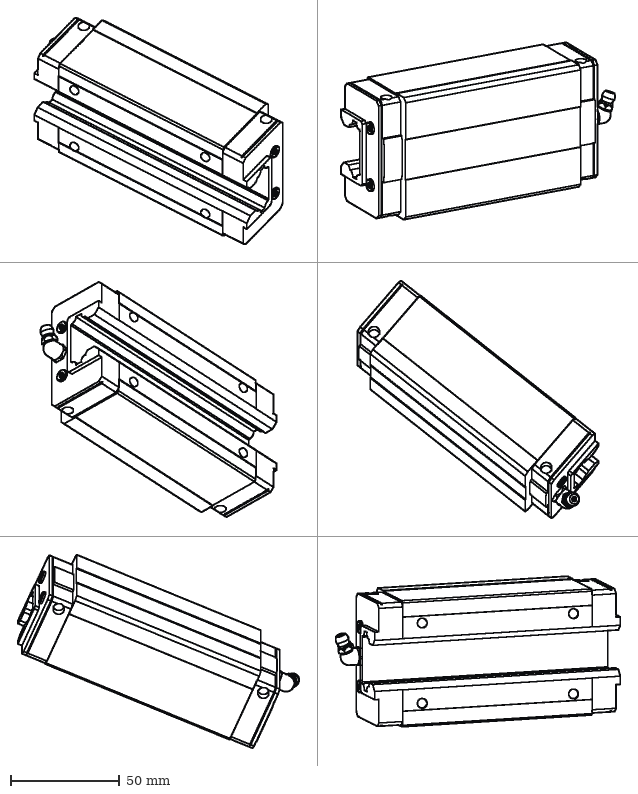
import cadquery as cq
import math


overall_length = 130.2

block_length = 93.0
block_height = 36.7
block_width = 60.0
block_half_width = block_width / 2
block_lower_half_width = 29.7
width_step_y = 27.6
block_top_chamfer = 2.0
block_bottom_chamfer = 0.9
bottom_step_half_width = 22.1
bottom_step_depth = 0.3
bottom_land_height = 0.07
top_relief_half_width = 9.9
top_relief_depth = 0.4

cap_end_x = 58.2
cap_height = 31.8
cap_half_width = 28.9
cap_chamfer = 2.0
end_plate_thickness = 1.7
plate_groove_width = 0.4
plate_groove_depth = 0.5
tongue_half_width = 10.7
tongue_crown_half_width = 7.0
tongue_shoulder_y = 33.0
tongue_crown_y = 33.3
side_hole_diameter = 5.2
side_hole_depth = 5.2
side_hole_x = 51.7
side_hole_y = 27.6

seal_end_x = 60.3
seal_height = 20.0
seal_half_width = 15.9
seal_chamfer = 1.2

channel_floor_y = 17.6
channel_floor_half_width = 10.5
channel_land_half_width = 11.2
channel_slot_half_width = 13.9
channel_lip_half_width = 9.2
channel_mouth_half_width = 12.0
lip_outer_y = 2.7
lip_inner_y = 7.2
slot_lower_y = 11.2
slot_upper_y = 14.5
slot_edge_radius = 2.6

screw_diameter = 5.7
screw_head_height = 1.2
screw_head_chamfer = 0.3
screw_socket_width = 2.2
screw_socket_depth = 0.7
screw_y = 24.7
screw_spacing = 28.0
screw_z = screw_spacing / 2

pin_diameter = 4.4
pin_height = 1.3
pin_edge_radius = 0.4
pin_x = 37.1
pin_z = 18.9

nipple_y = 26.7
elbow_diameter = 8.0
base_hex_thickness = 1.7
nipple_tilt = 22.0
nipple_hex_width = 6.6
nipple_hex_start = 3.3
nipple_hex_end = 5.6
hex_corner_chamfer = 1.2
collar_diameter = 6.0
collar_end = 6.5
neck_diameter = 5.2
neck_end = 7.0
head_diameter = 6.2
head_start = 8.6
tip_diameter = 4.4
tip_end = 11.2
grease_hole_diameter = 2.2
grease_hole_inner_diameter = 1.0
grease_hole_depth = 1.0

head_inset = (head_diameter - tip_diameter) / 2
head_arc_radius = (head_inset**2 + (tip_end - head_start) ** 2) / (2 * head_inset)

tilt = math.radians(nipple_tilt)
head_arc_centre_radius = head_diameter / 2 - head_arc_radius
spout_reach = head_start * math.sin(tilt) + head_arc_centre_radius * math.cos(tilt) + head_arc_radius
elbow_x = seal_end_x - overall_length + spout_reach


def mirrored_outline(half_points):
    """Close a (Y, Z) half outline with its mirror image across Z = 0."""
    mirror_points = [(y, -z) for y, z in reversed(half_points)]
    return cq.Workplane("YZ").polyline(half_points + mirror_points).close()


def extrude_between(outline, x_start, x_end):
    return outline.extrude(x_end - x_start).translate((x_start, 0, 0))


def both_ends(solid):
    return solid.union(solid.mirror("YZ"))


def make_block():
    half_outline = [
        (-bottom_land_height, bottom_step_half_width),
        (bottom_step_depth, bottom_step_half_width),
        (bottom_step_depth, block_lower_half_width - block_bottom_chamfer),
        (bottom_step_depth + block_bottom_chamfer, block_lower_half_width),
        (width_step_y, block_lower_half_width),
        (width_step_y, block_half_width),
        (block_height - block_top_chamfer, block_half_width),
        (block_height, block_half_width - block_top_chamfer),
        (block_height, top_relief_half_width),
        (block_height - top_relief_depth, top_relief_half_width),
    ]
    return extrude_between(mirrored_outline(half_outline), -block_length / 2, block_length / 2)


def cap_outline(inset=0):
    """Chamfered rectangle, inset from the top and sides but not from the open face."""
    half_width = cap_half_width - inset
    height = cap_height - inset
    return mirrored_outline([
        (0, cap_half_width - cap_chamfer),
        (cap_chamfer - inset, half_width),
        (height - cap_chamfer, half_width),
        (height, half_width - cap_chamfer),
    ])


def make_end_cap():
    plate_start = cap_end_x - end_plate_thickness
    body_end = plate_start - plate_groove_width
    core = extrude_between(cap_outline(plate_groove_depth), block_length / 2, cap_end_x)
    body = extrude_between(cap_outline(), block_length / 2, body_end)
    plate = extrude_between(cap_outline(), plate_start, cap_end_x)
    tongue_outline = mirrored_outline([
        (cap_height - cap_chamfer, tongue_half_width),
        (tongue_shoulder_y, tongue_half_width),
        (tongue_crown_y, tongue_crown_half_width),
    ])
    tongue = extrude_between(tongue_outline, block_length / 2, body_end)
    cap = core.union(body).union(plate).union(tongue)

    for side in (-1, 1):
        hole = (
            cq.Workplane("XY", origin=(side_hole_x, side_hole_y, side * cap_half_width))
            .circle(side_hole_diameter / 2)
            .extrude(-side * side_hole_depth)
        )
        cap = cap.cut(hole)
    return cap


def make_seal():
    outline = mirrored_outline([
        (0, seal_half_width),
        (seal_height - seal_chamfer, seal_half_width),
        (seal_height, seal_half_width - seal_chamfer),
    ])
    return extrude_between(outline, cap_end_x, seal_end_x)


def make_channel():
    """Rail-shaped void through the whole carriage, with rounded edges beside each slot."""
    mouth_slope = (channel_mouth_half_width - channel_lip_half_width) / lip_outer_y
    mouth_half_width = channel_mouth_half_width + bottom_land_height * mouth_slope
    edge_end = channel_land_half_width + slot_edge_radius
    half_channel = (
        cq.Workplane("YZ")
        .moveTo(-bottom_land_height, 0)
        .lineTo(-bottom_land_height, mouth_half_width)
        .lineTo(lip_outer_y, channel_lip_half_width)
        .lineTo(lip_inner_y, channel_lip_half_width)
        .lineTo(slot_lower_y - slot_edge_radius, channel_land_half_width)
        .radiusArc((slot_lower_y, edge_end), -slot_edge_radius)
        .lineTo(slot_lower_y, channel_slot_half_width)
        .lineTo(slot_upper_y, channel_slot_half_width)
        .lineTo(slot_upper_y, edge_end)
        .radiusArc((slot_upper_y + slot_edge_radius, channel_land_half_width), -slot_edge_radius)
        .lineTo(channel_floor_y, channel_floor_half_width)
        .lineTo(channel_floor_y, 0)
        .close()
    )
    half_channel = extrude_between(half_channel, -seal_end_x, seal_end_x)
    return half_channel.union(half_channel.mirror("XY"))


def make_screw_head(z):
    return (
        cq.Workplane("YZ", origin=(cap_end_x, screw_y, z))
        .circle(screw_diameter / 2)
        .extrude(screw_head_height)
        .faces(">X")
        .chamfer(screw_head_chamfer)
        .faces(">X")
        .workplane(centerOption="CenterOfBoundBox")
        .polygon(6, screw_socket_width / math.cos(math.pi / 6))
        .cutBlind(-screw_socket_depth)
    )


def make_pin(x, z):
    return (
        cq.Workplane("XZ", origin=(x, 0, z))
        .circle(pin_diameter / 2)
        .extrude(pin_height)
        .faces("<Y")
        .fillet(pin_edge_radius)
    )


def make_carriage():
    carriage = make_block().union(both_ends(make_end_cap())).union(both_ends(make_seal()))
    carriage = carriage.cut(make_channel())
    for z in (-screw_z, screw_z):
        carriage = carriage.union(both_ends(make_screw_head(z)))
    for x in (-pin_x, pin_x):
        for z in (-pin_z, pin_z):
            carriage = carriage.union(make_pin(x, z))
    return carriage


def make_chamfered_hex(width, thickness):
    """Hexagon standing on Z = 0 with corners on the X axis, its upper corners turned off."""
    corner_radius = width / 2 / math.cos(math.pi / 6)
    hexagon = cq.Workplane("XY").polygon(6, 2 * corner_radius).extrude(thickness)
    turned_envelope = (
        cq.Workplane("XY")
        .circle(corner_radius)
        .extrude(thickness)
        .faces(">Z")
        .chamfer(hex_corner_chamfer, corner_radius - width / 2)
    )
    return hexagon.intersect(turned_envelope)


def make_nipple_spout():
    """Spout along +Z from the elbow centre: hexagon, collar, neck and rounded head."""
    turned = (
        cq.Workplane("XZ")
        .moveTo(0, 0)
        .lineTo(collar_diameter / 2, 0)
        .lineTo(collar_diameter / 2, collar_end)
        .lineTo(neck_diameter / 2, collar_end)
        .lineTo(neck_diameter / 2, neck_end)
        .lineTo(head_diameter / 2, head_start)
        .radiusArc((tip_diameter / 2, tip_end), -head_arc_radius)
        .lineTo(grease_hole_diameter / 2, tip_end)
        .lineTo(grease_hole_inner_diameter / 2, tip_end - grease_hole_depth)
        .lineTo(0, tip_end - grease_hole_depth)
        .close()
        .revolve(360, (0, 0, 0), (0, 1, 0))
    )
    hexagon = make_chamfered_hex(nipple_hex_width, nipple_hex_end - nipple_hex_start)
    return turned.union(hexagon.translate((0, 0, nipple_hex_start)))


def make_grease_nipple():
    elbow_length = -cap_end_x - elbow_x
    base_hex = (
        make_chamfered_hex(elbow_diameter, base_hex_thickness)
        .rotate((0, 0, 0), (0, 0, 1), 90)
        .rotate((0, 0, 0), (0, 1, 0), -90)
        .translate((elbow_length, 0, 0))
    )
    stem = cq.Workplane("YZ").circle(elbow_diameter / 2).extrude(elbow_length)
    dome = cq.Workplane("XY").sphere(elbow_diameter / 2)
    spout = make_nipple_spout().rotate((0, 0, 0), (0, 1, 0), -nipple_tilt)
    nipple = stem.union(dome).union(base_hex).union(spout)
    return nipple.translate((elbow_x, nipple_y, 0))


carriage = make_carriage()
grease_nipple = make_grease_nipple()

result = cq.Compound.makeCompound([carriage.val(), grease_nipple.val()])